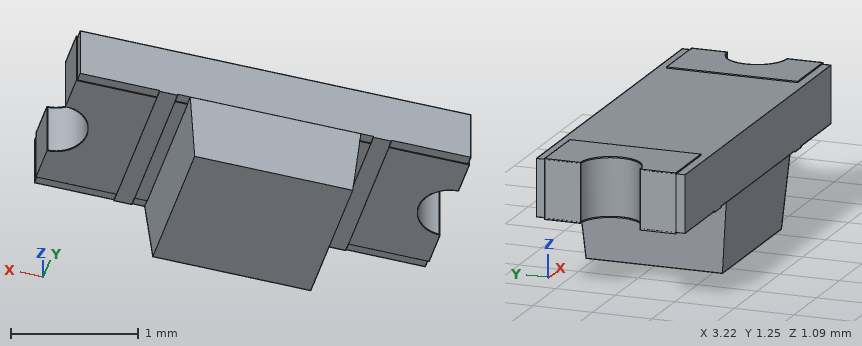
import cadquery as cq


overall_length = 3.22
board_width = 1.25
overall_height = 1.09
metal_thickness = 0.01

board_length = overall_length - 2 * metal_thickness
board_thickness = 0.48
rib_inner_x = 0.802
rib_outer_x = 0.95

terminal_width = 1.1
terminal_outer_x = overall_length / 2
terminal_top_z = board_thickness + metal_thickness
top_pad_length = 0.55
notch_radius = 0.25

lens_height = overall_height - terminal_top_z
lens_base_length = 1.397
lens_inset = 0.05


def block(x_start, x_end, width, z_bottom, z_top):
    """Box between two X and two Z positions, centred on Y = 0."""
    return (
        cq.Workplane("XY", origin=((x_start + x_end) / 2, 0, z_bottom))
        .rect(x_end - x_start, width)
        .extrude(z_top - z_bottom)
    )


def at_end(body, side):
    """Body modelled at the +X end, mirrored to the -X end when side is -1."""
    return body if side > 0 else body.mirror("YZ")


def end_notch():
    """Cutter for the half-round notch, a cylinder centred on the outer face of the +X terminal."""
    return (
        cq.Workplane("XY", origin=(terminal_outer_x, 0, -metal_thickness))
        .circle(notch_radius)
        .extrude(terminal_top_z + metal_thickness)
    )


def make_board():
    """Board with a cross rib and a half-round notch near each end."""
    board = block(-board_length / 2, board_length / 2, board_width, 0, board_thickness)
    rib = block(rib_inner_x, rib_outer_x, board_width, -metal_thickness, 0)
    for side in (-1, 1):
        board = board.union(at_end(rib, side)).cut(at_end(end_notch(), side))
    return board.clean()


def make_terminal(board, side):
    """Thin metal wrapped round one board end: top pad, end face and a bottom pad up to the rib."""
    upper = block(terminal_outer_x - top_pad_length, terminal_outer_x, terminal_width, 0, terminal_top_z)
    lower = block(rib_outer_x, terminal_outer_x, terminal_width, -metal_thickness, 0)
    envelope = upper.union(lower).cut(end_notch())
    return at_end(envelope, side).cut(board).clean()


def make_inner_pad(side):
    """Thin pad under the board, filling the space between a cross rib and the lens."""
    pad = block(lens_base_length / 2, rib_inner_x, terminal_width, -metal_thickness, 0)
    return at_end(pad, side)


def make_lens():
    """Tapered block below the board, narrowing by the same inset on all four sides."""
    return (
        cq.Workplane("XY")
        .rect(lens_base_length, board_width)
        .workplane(offset=-lens_height)
        .rect(lens_base_length - 2 * lens_inset, board_width - 2 * lens_inset)
        .loft(ruled=True)
    )


board = make_board()
lens = make_lens()
terminals = [make_terminal(board, side) for side in (-1, 1)]
inner_pads = [make_inner_pad(side) for side in (-1, 1)]

result = cq.Compound.makeCompound(
    [board.val(), lens.val()]
    + [terminal.val() for terminal in terminals]
    + [pad.val() for pad in inner_pads]
)